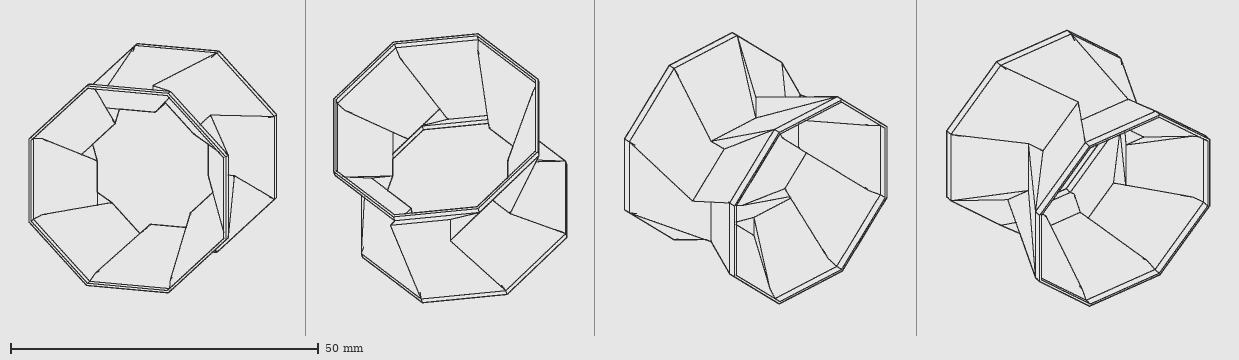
import cadquery as cq
import math

SIDES = 8
RIM_APOTHEM = 16.9
LENGTH = 26.4
RIM_BAND = 1.18
WALL = 0.4

SECTOR = 2 * math.pi / SIDES
END_Y = LENGTH / 2
FOLD_LENGTH = END_Y - RIM_BAND
HALF_SIDE = RIM_APOTHEM * math.tan(SECTOR / 2)
WAIST_APOTHEM = HALF_SIDE / math.sin(SECTOR)


def turned(point, sector):
    """Turn a point about the Y axis by a number of sectors, from +Z toward +X."""
    x, y, z = point
    c = math.cos(sector * SECTOR)
    s = math.sin(sector * SECTOR)
    return (x * c + z * s, y, z * c - x * s)


def polygon(points):
    vectors = [cq.Vector(*p) for p in points]
    return cq.Face.makeFromWires(cq.Wire.makePolygon(vectors, close=True))


def mirrored(points):
    return [(x, -y, z) for x, y, z in points]


def folded_body(inset):
    """Solid inside the folded surface, with every waist and rim edge moved inward by inset."""
    rim_apothem = RIM_APOTHEM - inset
    rim_x = rim_apothem * math.tan(SECTOR / 2)
    rim_corner = (rim_x, FOLD_LENGTH, rim_apothem)
    end_corner = (rim_x, END_Y, rim_apothem)

    step_inner = (inset, 0, WAIST_APOTHEM - inset)
    step_outer_z = (WAIST_APOTHEM - inset - inset * math.sin(SECTOR)) / math.cos(SECTOR)
    step_outer = (inset, 0, step_outer_z)

    pleat_depth = RIM_APOTHEM - WAIST_APOTHEM
    step_height = step_outer_z - step_inner[2]
    tip_fraction = step_height / (2 * HALF_SIDE - WAIST_APOTHEM)
    pleat_tip = (
        inset + tip_fraction * HALF_SIDE,
        tip_fraction * FOLD_LENGTH,
        WAIST_APOTHEM - inset + tip_fraction * pleat_depth,
    )

    panel = [turned(rim_corner, -1)]
    if inset > 0:
        panel.append(turned(pleat_tip, -1))
    panel += [turned(step_outer, -1), step_inner, pleat_tip]
    if inset > 0:
        panel.append(rim_corner)
    pleat = [pleat_tip, step_inner, step_outer]
    band = [turned(rim_corner, -1), rim_corner, end_corner, turned(end_corner, -1)]

    end_cap = [turned(end_corner, i) for i in range(SIDES)]
    faces = [polygon(end_cap), polygon(mirrored(end_cap))]
    for i in range(SIDES):
        for outline in (panel, pleat, band):
            points = [turned(p, i) for p in outline]
            faces += [polygon(points), polygon(mirrored(points))]
    return cq.Workplane(cq.Solid.makeSolid(cq.Shell.makeShell(faces)))


result = folded_body(0).cut(folded_body(WALL))